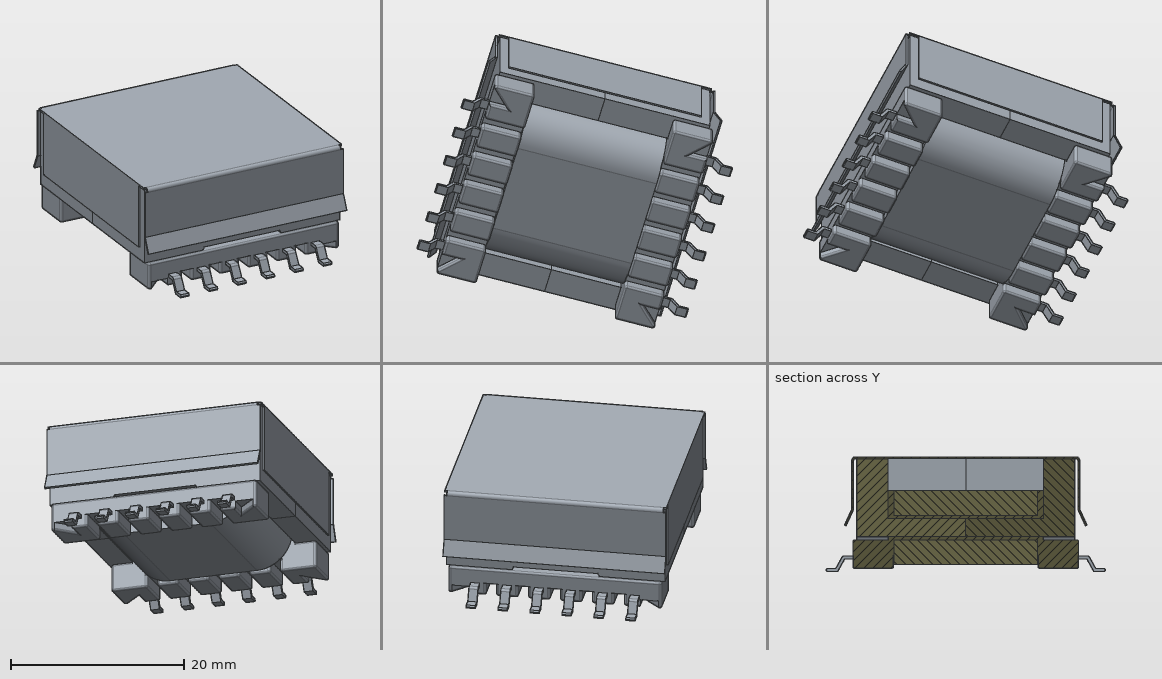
import cadquery as cq
import math

core_half_x = 12.6
core_half_y = 12.83
core_bottom = 3.68
recess_half_top = 4.95
recess_half_bottom = 5.1
recess_height = 0.35
centre_leg_half_y = recess_half_top
centre_leg_height = 2.13

sheet = 0.23
cover_top = 13.28
panel_thickness = 0.178
cover_half_y = core_half_y + panel_thickness
side_flap_outer_x = 13.18
bend_radius = 0.45
bend_relief = 0.32
flare_start = 7.2
flare_reach = 0.85
flare_drop = 1.8
panel_half_x = 11.57
panel_bottom = 5.33
core_top = cover_top - sheet

winding_half_x = 8.35
winding_radius = 4.3
winding_half_y = 9.6
winding_bottom = 0.8
winding_axis_z = winding_bottom + winding_radius
winding_top = winding_axis_z + winding_radius

block_outer_x = 13.05
block_half_y = 12.5
block_bottom = 0.4
edge_radius = 0.3
top_edge_radius = 0.23
foot_bottom_radius = 0.23
flange = 0.65
tube_wall = 0.32
slot_width = 1.2
slot_top = 1.87
end_wall = 0.4
notch_top = 1.32
notch_margin = 0.1

pin_count = 6
pin_pitch = 3.75
pin_width = 1.07
pin_thickness = 0.4
pin_top = 1.85
pin_end_x = 16.15
shoulder_x = 14.22
heel_x = 15.02
pin_bend_radius = 0.4
pin_tip_length = 0.13
pin_embed = 0.32

window_half_x = winding_half_x + flange
window_half_y = winding_half_y + flange / 2
centre_leg_bottom = core_bottom + recess_height
centre_leg_mid = centre_leg_bottom + centre_leg_height / 2
tube_half_y = centre_leg_half_y + tube_wall
tube_height = centre_leg_height + 2 * tube_wall
row_half = (pin_count - 1) / 2


def box(x0, x1, y0, y1, z0, z1):
    """Axis-aligned box given by its limits."""
    return cq.Workplane("XY").box(x1 - x0, y1 - y0, z1 - z0, centered=False).translate((x0, y0, z0))


def mirror_x(shape):
    """The same shape on the -X side."""
    return shape.mirror("YZ")


def make_core_half():
    """+X half: back wall, two outer legs and a thin centre leg."""
    half = box(0, core_half_x, -core_half_y, core_half_y, core_bottom, core_top)
    half = half.cut(box(0, window_half_x, -window_half_y, window_half_y, core_bottom, core_top))
    recess = (
        cq.Workplane("YZ")
        .polyline([
            (-recess_half_bottom, core_bottom),
            (recess_half_bottom, core_bottom),
            (recess_half_top, centre_leg_bottom),
            (-recess_half_top, centre_leg_bottom),
        ])
        .close()
        .extrude(core_half_x)
    )
    centre_leg = box(
        0, window_half_x, -centre_leg_half_y, centre_leg_half_y,
        centre_leg_bottom, centre_leg_bottom + centre_leg_height,
    )
    return half.cut(recess).union(centre_leg)


def make_side_flap():
    """+X flap: rounded bend, straight drop and a flared lip."""
    inner_x = side_flap_outer_x - sheet
    bend_x = side_flap_outer_x - bend_radius
    bend_z = cover_top - bend_radius
    inner_radius = bend_radius - sheet
    diagonal = math.sqrt(0.5)
    lip_angle = math.atan2(flare_reach, flare_drop)
    lip_tip_x = side_flap_outer_x + flare_reach
    lip_tip_z = flare_start - flare_drop
    lip_inner_tip = (lip_tip_x - sheet * math.cos(lip_angle), lip_tip_z - sheet * math.sin(lip_angle))
    inner_flare_start = flare_start - sheet * math.tan(lip_angle / 2)
    flap = (
        cq.Workplane("XZ")
        .moveTo(bend_x, cover_top)
        .threePointArc(
            (bend_x + bend_radius * diagonal, bend_z + bend_radius * diagonal),
            (side_flap_outer_x, bend_z),
        )
        .lineTo(side_flap_outer_x, flare_start)
        .lineTo(lip_tip_x, lip_tip_z)
        .lineTo(*lip_inner_tip)
        .lineTo(inner_x, inner_flare_start)
        .lineTo(inner_x, bend_z)
        .threePointArc(
            (bend_x + inner_radius * diagonal, bend_z + inner_radius * diagonal),
            (bend_x, core_top),
        )
        .close()
        .extrude(cover_half_y, both=True)
    )
    for side in (-1, 1):
        relief = box(
            bend_x, side_flap_outer_x, -bend_relief, bend_relief, bend_z, cover_top,
        ).translate((0, side * cover_half_y, 0))
        flap = flap.cut(relief)
    return flap


def make_cover():
    """Top sheet with two flared X flaps and two flat Y panels."""
    top_half_x = side_flap_outer_x - bend_radius
    cover = box(-top_half_x, top_half_x, -cover_half_y, cover_half_y, core_top, cover_top)
    flap = make_side_flap()
    cover = cover.union(flap).union(mirror_x(flap))
    panel = box(-panel_half_x, panel_half_x, core_half_y, cover_half_y, panel_bottom, cover_top)
    return cover.union(panel).union(panel.mirror("XZ"))


def make_tube(half_length):
    """Solid bar with the outside section of the bobbin tube."""
    bar = cq.Workplane("XY").box(2 * half_length, 2 * tube_half_y, tube_height)
    return bar.translate((0, 0, centre_leg_mid))


def make_winding():
    """Flat oval coil with the bobbin tube through it."""
    coil = (
        cq.Workplane("YZ")
        .center(0, winding_axis_z)
        .slot2D(2 * winding_half_y, 2 * winding_radius)
        .extrude(winding_half_x, both=True)
    )
    return coil.cut(make_tube(winding_half_x))


def make_foot_post(y0, y1):
    """Foot under the +X block, with rounded upright edges."""
    post = box(winding_half_x, block_outer_x, y0, y1, block_bottom, slot_top)
    return post.edges("|Z").fillet(edge_radius)


def round_bottom(foot):
    """The foot with its bottom edges rounded."""
    return foot.faces("<Z").edges().fillet(foot_bottom_radius)


def make_end_foot():
    """Outermost +Y foot, with a slanted wire notch beside the last pin."""
    foot = make_foot_post((row_half - 0.5) * pin_pitch + slot_width / 2, block_half_y)
    notch_start = row_half * pin_pitch + pin_width / 2 + notch_margin
    notch_end = block_half_y - end_wall
    notch_depth = notch_end - notch_start
    notch = (
        cq.Workplane("XY")
        .polyline([
            (block_outer_x, notch_start),
            (block_outer_x, notch_end),
            (block_outer_x - notch_depth, notch_start),
        ])
        .close()
        .extrude(notch_top)
    )
    return round_bottom(foot.cut(notch))


def make_pin():
    """Gull-wing pin on the +X side, centred on Y = 0."""
    slope_angle = math.atan2(pin_top - pin_thickness, heel_x - shoulder_x)
    underside_shift = pin_thickness * math.tan(slope_angle / 2)
    pin = (
        cq.Workplane("XZ")
        .polyline([
            (block_outer_x - pin_embed, pin_top),
            (shoulder_x, pin_top),
            (heel_x, pin_thickness),
            (pin_end_x - pin_tip_length, pin_thickness),
            (pin_end_x, pin_thickness / 2),
            (pin_end_x - pin_tip_length, 0),
            (heel_x - underside_shift, 0),
            (shoulder_x - underside_shift, pin_top - pin_thickness),
            (block_outer_x - pin_embed, pin_top - pin_thickness),
        ])
        .close()
        .extrude(pin_width / 2, both=True)
    )
    shoulder_edge = cq.selectors.NearestToPointSelector((shoulder_x, 0, pin_top))
    return pin.edges("|Y").edges(shoulder_edge).fillet(pin_bend_radius)


def make_bobbin_end():
    """+X end: block, feet, pins and winding flange."""
    end = box(winding_half_x, block_outer_x, -block_half_y, block_half_y, slot_top, core_bottom)
    end = end.edges("|Z").fillet(edge_radius).faces(">Z").edges().fillet(top_edge_radius)
    foot_half = (pin_pitch - slot_width) / 2
    for index in range(1, pin_count - 1):
        foot_y = (index - row_half) * pin_pitch
        end = end.union(round_bottom(make_foot_post(foot_y - foot_half, foot_y + foot_half)))
    end_foot = make_end_foot()
    end = end.union(end_foot).union(end_foot.mirror("XZ"))
    for index in range(pin_count):
        end = end.union(make_pin().translate((0, (index - row_half) * pin_pitch, 0)))
    return end.union(box(
        winding_half_x, window_half_x, -window_half_y, window_half_y, slot_top, winding_top,
    ))


def make_bobbin():
    """Two ends joined by a tube that fits around the centre leg."""
    end = make_bobbin_end()
    bobbin = end.union(mirror_x(end)).union(make_tube(window_half_x))
    return bobbin.cut(make_core_half()).cut(mirror_x(make_core_half()))


core_right = make_core_half()
core_left = mirror_x(core_right)
cover = make_cover()
winding = make_winding()
bobbin = make_bobbin()

result = cq.Compound.makeCompound([
    core_right.solids().val(),
    core_left.solids().val(),
    cover.solids().val(),
    winding.solids().val(),
    bobbin.solids().val(),
])